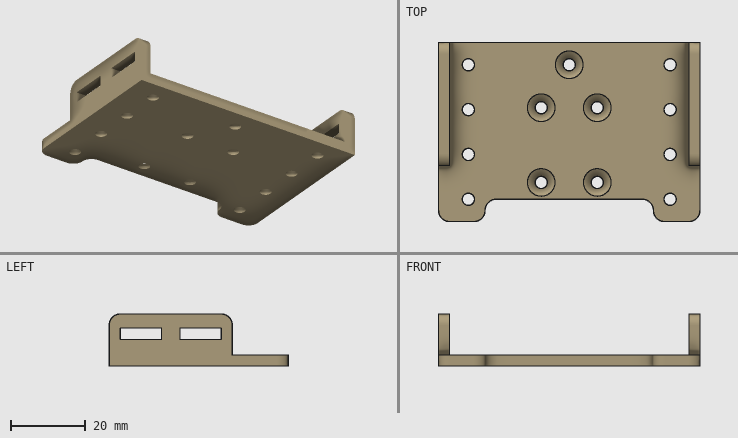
import cadquery as cq

width = 70.0
depth = 48.0
thickness = 3.0
corner_radius = 3.0

notch_width = 45.0
notch_depth = 2 * corner_radius

flange_length = 33.0
flange_height = 14.0
flange_front = depth - flange_length

slot_length = 11.0
slot_height = 3.0
slot_bottom = 7.15
slot_end_margin = 3.0
slot_centers_y = (
    flange_front + slot_end_margin + slot_length / 2,
    depth - slot_end_margin - slot_length / 2,
)

hole_diameter = 3.2
side_hole_x = 27.0
side_hole_first_y = 6.0
side_hole_pitch = 12.0
side_hole_count = 4
side_hole_last_y = side_hole_first_y + (side_hole_count - 1) * side_hole_pitch

countersink_diameter = 7.4
countersink_angle = 90.0
pair_half_spacing = 7.5
front_pair_y = 10.5
pair_pitch_y = 20.0
countersunk_points = [(0, side_hole_last_y)] + [
    (x, y)
    for x in (-pair_half_spacing, pair_half_spacing)
    for y in (front_pair_y, front_pair_y + pair_pitch_y)
]


def make_plate():
    """Plate with rounded feet; the tips of the feet lie on Y = 0."""
    side_x = width / 2
    notch_x = notch_width / 2
    radius = corner_radius
    right_half = (
        cq.Workplane("XY")
        .moveTo(0, depth)
        .lineTo(side_x, depth)
        .lineTo(side_x, radius)
        .radiusArc((side_x - radius, 0), radius)
        .lineTo(notch_x + radius, 0)
        .radiusArc((notch_x, radius), radius)
        .radiusArc((notch_x - radius, notch_depth), -radius)
        .lineTo(0, notch_depth)
    )
    return right_half.mirrorY().extrude(thickness)


def make_flange(side):
    """Upright flange with two slots; side is -1 (left) or +1 (right)."""
    center_x = side * (width - thickness) / 2
    flange = (
        cq.Workplane("XY", origin=(center_x, flange_front, 0))
        .box(thickness, flange_length, flange_height, centered=(True, False, False))
        .edges("|X and >Z")
        .fillet(corner_radius)
    )
    for slot_y in slot_centers_y:
        slot = cq.Workplane("XY", origin=(center_x, slot_y, slot_bottom)).box(
            thickness, slot_length, slot_height, centered=(True, True, False)
        )
        flange = flange.cut(slot)
    return flange


def plate_top(body):
    """Workplane on the upper face of the plate, with the part's X and Y."""
    return body.copyWorkplane(cq.Workplane("XY", origin=(0, 0, thickness)))


def drill_side_holes(body):
    points = [
        (side * side_hole_x, side_hole_first_y + index * side_hole_pitch)
        for side in (-1, 1)
        for index in range(side_hole_count)
    ]
    return plate_top(body).pushPoints(points).hole(hole_diameter, thickness)


def drill_countersunk_holes(body):
    points = plate_top(body).pushPoints(countersunk_points)
    return points.cskHole(
        hole_diameter, countersink_diameter, countersink_angle, thickness
    )


bracket = make_plate()
for flange_side in (-1, 1):
    bracket = bracket.union(make_flange(flange_side))
bracket = drill_side_holes(bracket)
result = drill_countersunk_holes(bracket)